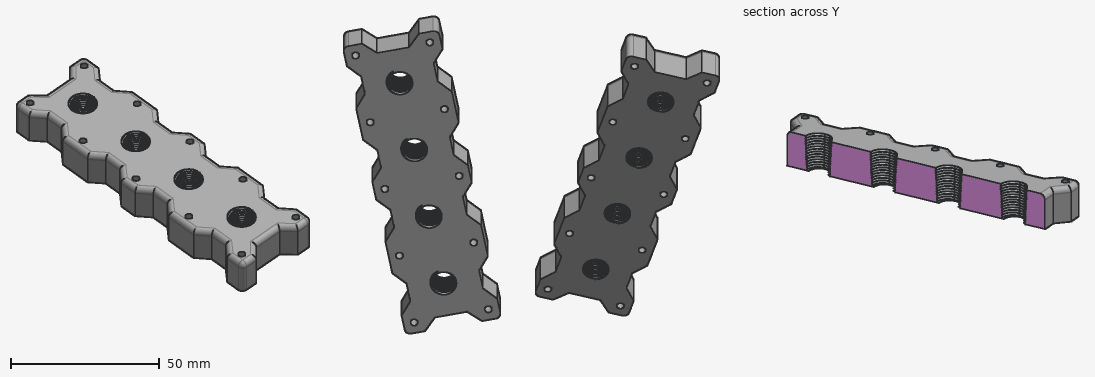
import cadquery as cq
import math

LENGTH = 109.7
WIDTH = 32.8
HEIGHT = 12.9
EDGE_RADIUS = 2.0

HOLE_PITCH = 25.5

SIDE_NOTCH_OFFSET = 14.0
SIDE_NOTCH_DEPTH = 4.0
SIDE_NOTCH_MOUTH = 16.1
SIDE_NOTCH_FLOOR = 6.7

END_NOTCH_DEPTH = 4.4
END_NOTCH_MOUTH = 19.5
END_NOTCH_FLOOR = 11.0

SCREW_HOLE_DIAMETER = 2.4
SCREW_COLUMNS = 5
SCREW_ROWS = 2

PORT_COUNT = 4
PORT_TOP_DIAMETER = 8.8
PORT_BOTTOM_DIAMETER = 7.7
THREAD_TOP_DIAMETER = 10.3
THREAD_PITCH = 0.94
THREAD_ROOT_ANGLE = -90.0
THREAD_SWEEP_TURNS = 0.51
PORT_CORE_DIAMETER = 5.5
THREAD_CORE_RADIUS = 2.2


def side_notch(center_x, side):
    """Through notch in the long side at +Y (side = 1) or -Y (side = -1)."""
    edge_y = side * WIDTH / 2
    floor_y = edge_y - side * SIDE_NOTCH_DEPTH
    return (
        cq.Workplane("XY")
        .moveTo(center_x - SIDE_NOTCH_MOUTH / 2, edge_y)
        .lineTo(center_x - SIDE_NOTCH_FLOOR / 2, floor_y)
        .lineTo(center_x + SIDE_NOTCH_FLOOR / 2, floor_y)
        .lineTo(center_x + SIDE_NOTCH_MOUTH / 2, edge_y)
        .close()
        .extrude(HEIGHT)
    )


def end_notch(side):
    """Through notch in the short end at +X (side = 1) or -X (side = -1)."""
    edge_x = side * LENGTH / 2
    floor_x = edge_x - side * END_NOTCH_DEPTH
    return (
        cq.Workplane("XY")
        .moveTo(edge_x, -END_NOTCH_MOUTH / 2)
        .lineTo(floor_x, -END_NOTCH_FLOOR / 2)
        .lineTo(floor_x, END_NOTCH_FLOOR / 2)
        .lineTo(edge_x, END_NOTCH_MOUTH / 2)
        .close()
        .extrude(HEIGHT)
    )


def notched_body():
    """Block with rounded corners, notched sides and a rounded top rim."""
    body = cq.Workplane("XY").box(LENGTH, WIDTH, HEIGHT, centered=(True, True, False))
    body = body.edges("|Z").fillet(EDGE_RADIUS)
    for side in (-1, 1):
        body = body.cut(end_notch(side))
        for half in (-1, 1):
            for offset in (-SIDE_NOTCH_OFFSET, SIDE_NOTCH_OFFSET):
                body = body.cut(side_notch(half * HOLE_PITCH + offset, side))
    return body.faces(">Z").edges().fillet(EDGE_RADIUS)


def thread_half_turn(index):
    """Cutter for one half (index 0 or 1) of the port: its tapered V-thread profile swept up a helix."""
    taper = (PORT_TOP_DIAMETER - PORT_BOTTOM_DIAMETER) / 2 / HEIGHT
    start_z = HEIGHT + THREAD_PITCH + index * THREAD_PITCH / 2
    turns = math.ceil(HEIGHT / THREAD_PITCH) + 2
    end_z = start_z - turns * THREAD_PITCH

    def profile_point(top_diameter, z):
        return top_diameter / 2 + taper * (z - HEIGHT), z

    profile = [(THREAD_CORE_RADIUS, start_z), profile_point(PORT_TOP_DIAMETER, start_z)]
    for turn in range(turns):
        crest_z = start_z - (turn + 1) * THREAD_PITCH
        profile.append(profile_point(THREAD_TOP_DIAMETER, crest_z + THREAD_PITCH / 2))
        profile.append(profile_point(PORT_TOP_DIAMETER, crest_z))
    profile.append((THREAD_CORE_RADIUS, end_z))

    path = cq.Wire.makeHelix(
        THREAD_PITCH,
        THREAD_PITCH * THREAD_SWEEP_TURNS,
        PORT_BOTTOM_DIAMETER / 2,
        angle=math.degrees(math.atan(taper)),
    )
    half_turn = cq.Workplane("XZ").polyline(profile).close().sweep(cq.Workplane(obj=path), isFrenet=True)
    return half_turn.rotate((0, 0, 0), (0, 0, 1), THREAD_ROOT_ANGLE - 180 + index * 180)


def screw_holes():
    """Plain through holes on a square grid."""
    return (
        cq.Workplane("XY")
        .rarray(HOLE_PITCH, HOLE_PITCH, SCREW_COLUMNS, SCREW_ROWS)
        .circle(SCREW_HOLE_DIAMETER / 2)
        .extrude(HEIGHT)
    )


port_core = cq.Workplane("XY").circle(PORT_CORE_DIAMETER / 2).extrude(HEIGHT)
port_cutters = [port_core, thread_half_turn(0), thread_half_turn(1)]

result = notched_body().cut(screw_holes())
for index in range(PORT_COUNT):
    port_x = (index - (PORT_COUNT - 1) / 2) * HOLE_PITCH
    for cutter in port_cutters:
        result = result.cut(cutter.translate((port_x, 0, 0)))